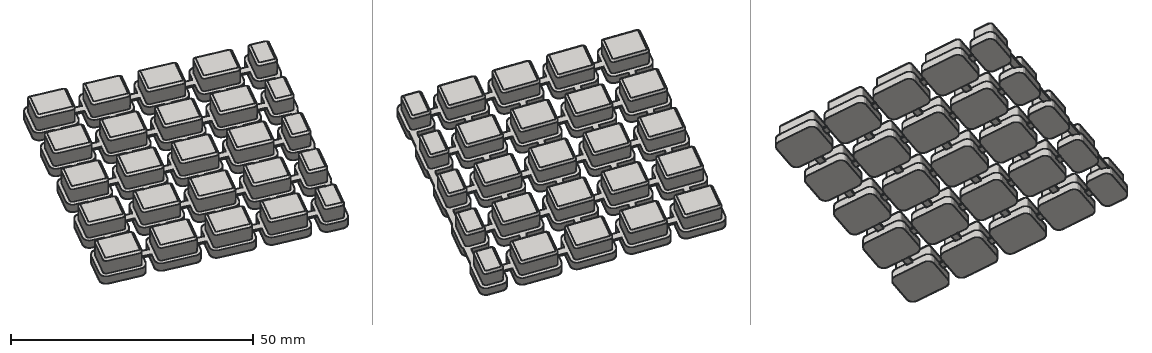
import cadquery as cq

mat_width = 52.1
mat_depth = 54.1
mat_height = 6.4

columns = 5
full_rows = 4
base_width = 8.1
full_base_depth = 10.1
short_base_depth = 6.1
base_height = 2.2
base_corner_radius = 1.5

cap_inset = 0.8
cap_corner_radius = base_corner_radius - cap_inset
cap_chamfer = 0.5

strip_width = 1.5
strip_thickness = 0.5

row_gap = (mat_depth - full_rows * full_base_depth - short_base_depth) / full_rows
column_pitch = (mat_width - base_width) / (columns - 1)
row_pitch = full_base_depth + row_gap

column_centres = [(i - (columns - 1) / 2) * column_pitch for i in range(columns)]
front_row_centre = (full_base_depth - mat_depth) / 2
full_row_centres = [front_row_centre + i * row_pitch for i in range(full_rows)]
short_row_centre = (mat_depth - short_base_depth) / 2
back_strip_centre = front_row_centre + full_rows * row_pitch


def make_key(base_depth):
    """A rounded base with a smaller, chamfered cap on top, centred on the origin."""
    base = cq.Workplane("XY").rect(base_width, base_depth).extrude(base_height)
    base = base.edges("|Z").fillet(base_corner_radius)
    cap_width = base_width - 2 * cap_inset
    cap_depth = base_depth - 2 * cap_inset
    cap = cq.Workplane("XY").rect(cap_width, cap_depth).extrude(mat_height)
    cap = cap.edges("|Z").fillet(cap_corner_radius)
    cap = cap.faces(">Z").chamfer(cap_chamfer)
    return base.union(cap)


def make_strip(x_start, x_end, y_start, y_end):
    """A flat strip over the given rectangle, its top level with the bases."""
    size = (x_end - x_start, y_end - y_start, strip_thickness)
    corner = (x_start, y_start, base_height - strip_thickness)
    return cq.Workplane("XY").box(*size, centered=False).translate(corner)


half_strip = strip_width / 2
full_key = make_key(full_base_depth)
short_key = make_key(short_base_depth)

strips = [
    make_strip(column_centres[0], column_centres[-1], y - half_strip, y + half_strip)
    for y in full_row_centres + [back_strip_centre]
]

strips += [
    make_strip(x - half_strip, x + half_strip, front_row_centre, short_row_centre)
    for x in column_centres
]

keys = [full_key.translate((x, y, 0)) for x in column_centres for y in full_row_centres]
keys += [short_key.translate((x, short_row_centre, 0)) for x in column_centres]

grid = strips[0]
for strip in strips[1:]:
    grid = grid.union(strip)

all_keys = cq.Workplane("XY").newObject([key.val() for key in keys])
result = grid.union(all_keys).solids()